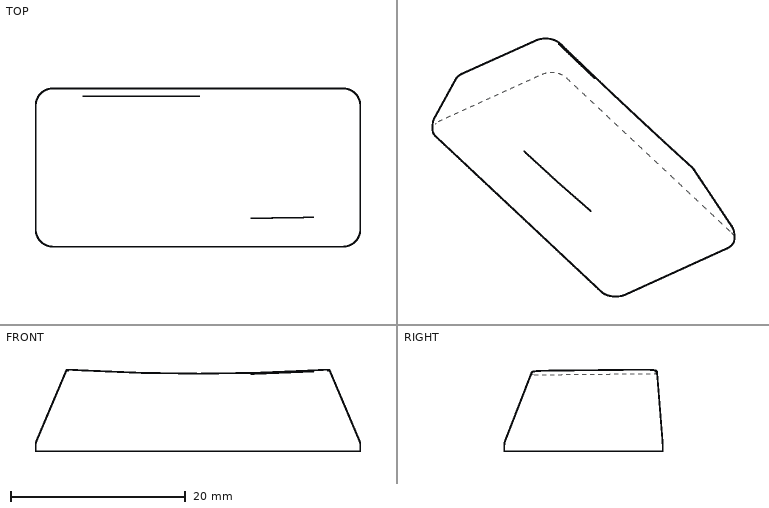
import cadquery as cq
import math

LENGTH = 37.2
WIDTH = 18.15
HEIGHT = 9.38

SKIRT_HEIGHT = 0.7
BEND_HEIGHT = 0.55
CORNER_RADIUS = 2.0
SIDE_INSET = 3.57
FRONT_INSET = 3.27
BACK_INSET = 0.67

DISH_DEPTH = 0.5
TOP_TILT_DROP = 0.15
TOP_EDGE_RADIUS = 0.3
RIM_ROUNDING_LOSS = 0.05
CUTTER_MARGIN = 3.72

crest_z = HEIGHT + RIM_ROUNDING_LOSS

bend_middle = SKIRT_HEIGHT + BEND_HEIGHT / 2
bend_top = SKIRT_HEIGHT + BEND_HEIGHT

top_length = LENGTH - 2 * SIDE_INSET
top_width = WIDTH - FRONT_INSET - BACK_INSET
top_back_y = WIDTH / 2 - BACK_INSET


def lean_fraction(z):
    """Share of the full wall inset reached at height z: zero, then a parabola, then a straight line."""
    if z <= SKIRT_HEIGHT:
        return 0.0
    if z < bend_top:
        return (z - SKIRT_HEIGHT) ** 2 / (2 * BEND_HEIGHT) / (crest_z - bend_middle)
    return (z - bend_middle) / (crest_z - bend_middle)


def outline_at(z):
    """Rounded rectangle of the keycap at height z, off-centre because the front wall leans most."""
    lean = lean_fraction(z)
    length = LENGTH - 2 * SIDE_INSET * lean
    width = WIDTH - (FRONT_INSET + BACK_INSET) * lean
    center = cq.Vector(0, (FRONT_INSET - BACK_INSET) / 2 * lean, z)
    return cq.Sketch().rect(length, width).vertices().fillet(CORNER_RADIUS).moved(cq.Location(center))


def make_body():
    """Upright skirt, curved bend and leaning walls stacked into one block."""
    skirt = cq.Workplane().placeSketch(outline_at(0)).extrude(SKIRT_HEIGHT)
    bend_outlines = [outline_at(z) for z in (SKIRT_HEIGHT, bend_middle, bend_top)]
    bend = cq.Workplane().placeSketch(*bend_outlines).loft()
    walls = cq.Workplane().placeSketch(outline_at(bend_top), outline_at(crest_z)).loft(ruled=True)
    return skirt.union(bend).union(walls)


def make_dish_cutter():
    """Shallow cylinder lying front to back, dipping slightly toward the front."""
    half_chord = top_length / 2
    radius = (half_chord**2 + DISH_DEPTH**2) / (2 * DISH_DEPTH)
    reach = half_chord + CUTTER_MARGIN
    floor_z = crest_z - DISH_DEPTH
    reach_z = floor_z + radius - math.sqrt(radius**2 - reach**2)
    tilt = math.degrees(math.atan2(TOP_TILT_DROP, top_width))
    return (
        cq.Workplane("XZ", origin=(0, top_back_y + CUTTER_MARGIN, 0))
        .moveTo(-reach, reach_z)
        .threePointArc((0, floor_z), (reach, reach_z))
        .lineTo(reach, crest_z + CUTTER_MARGIN)
        .lineTo(-reach, crest_z + CUTTER_MARGIN)
        .close()
        .extrude(top_width + 2 * CUTTER_MARGIN)
        .rotate((0, top_back_y, crest_z), (1, top_back_y, crest_z), tilt)
    )


body = make_body().cut(make_dish_cutter())

result = body.faces(">Z").edges().fillet(TOP_EDGE_RADIUS)